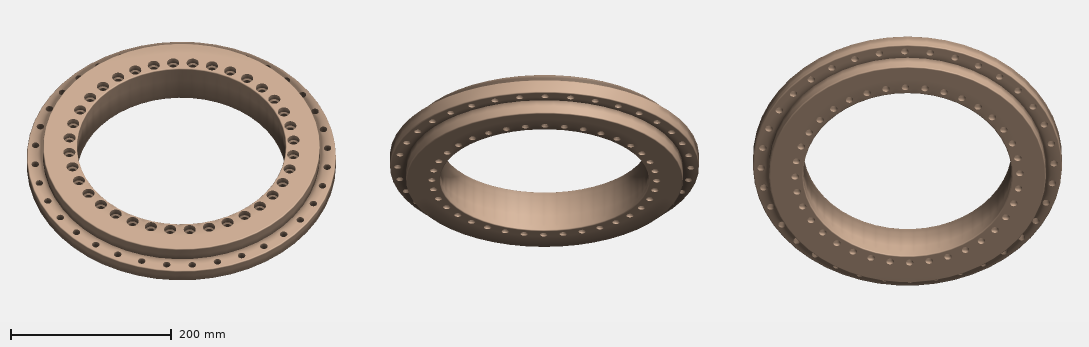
import cadquery as cq

flange_diameter = 385
body_diameter = 345.0
bore_diameter = 260.0
total_height = 55.0
flange_height = 18.0
edge_radius = 1.5

holes_per_circle = 36
flange_bolt_circle = 365.0
body_bolt_circle = 280.0
bolt_hole_diameter = 9.2
counterbore_diameter = 15.0
counterbore_depth = 8.0

flange_root_diameter = (body_diameter + bore_diameter) / 2
top_z = total_height / 2


def rounded_ring(outer_diameter, inner_diameter, height):
    """Ring centred on the origin with every rim rounded."""
    ring = (
        cq.Workplane("XY", origin=(0, 0, -height / 2))
        .circle(outer_diameter / 2)
        .circle(inner_diameter / 2)
        .extrude(height)
    )
    return ring.edges("%CIRCLE").fillet(edge_radius)


def bolt_circle(circle_diameter):
    """Evenly spaced hole centres on the top plane, the first one on +X."""
    return (
        cq.Workplane("XY", origin=(0, 0, top_z))
        .polarArray(circle_diameter / 2, 0, 360, holes_per_circle)
    )


body = rounded_ring(body_diameter, bore_diameter, total_height)
flange = rounded_ring(flange_diameter, flange_root_diameter, flange_height)
ring = body.union(flange)

flange_holes = bolt_circle(flange_bolt_circle).circle(bolt_hole_diameter / 2).extrude(-total_height)

body_holes = bolt_circle(body_bolt_circle).circle(bolt_hole_diameter / 2).extrude(-total_height)
counterbores = bolt_circle(body_bolt_circle).circle(counterbore_diameter / 2).extrude(-counterbore_depth)

result = ring.cut(flange_holes).cut(body_holes).cut(counterbores)